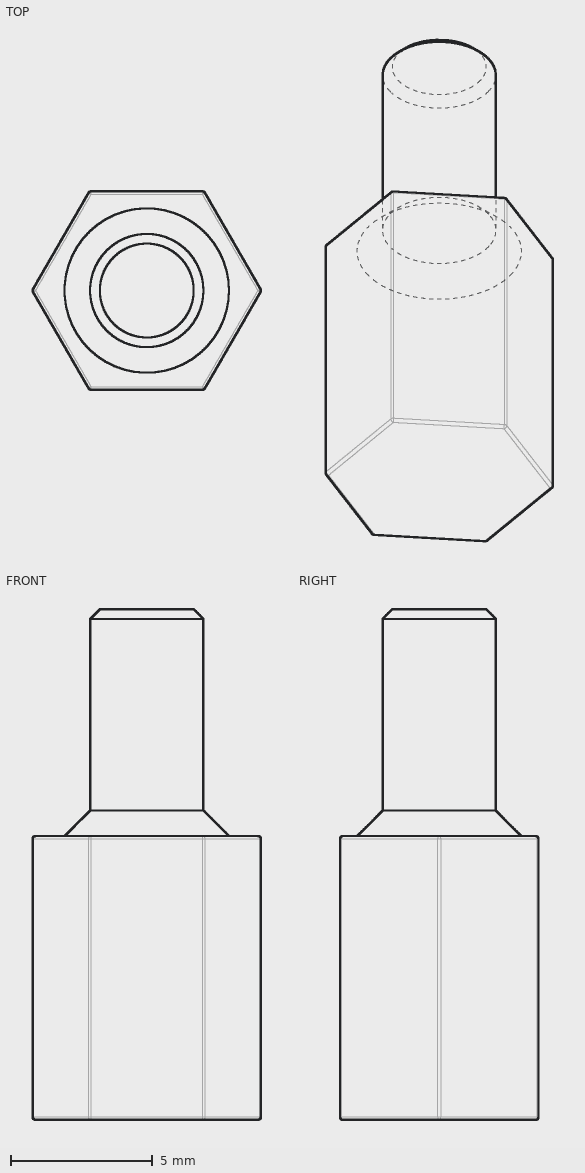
import cadquery as cq
import math

total_height = 18
hex_height = 10.0
across_flats = 7.0
edge_radius = 0.1

stud_diameter = 4.0
stud_tip_chamfer = 0.35
collar_diameter = 5.8


def hex_body():
    across_corners = across_flats / math.cos(math.radians(30))
    body = cq.Workplane("XY").polygon(6, across_corners).extrude(hex_height)
    return body.edges().fillet(edge_radius)


def stud():
    """Stud with its root cone and tip chamfer, revolved from a half profile."""
    stud_radius = stud_diameter / 2
    collar_radius = collar_diameter / 2
    collar_height = collar_radius - stud_radius
    root_z = hex_height / 2
    profile = (
        cq.Workplane("XZ")
        .moveTo(0, root_z)
        .lineTo(collar_radius, root_z)
        .lineTo(collar_radius, hex_height)
        .lineTo(stud_radius, hex_height + collar_height)
        .lineTo(stud_radius, total_height - stud_tip_chamfer)
        .lineTo(stud_radius - stud_tip_chamfer, total_height)
        .lineTo(0, total_height)
        .close()
    )
    return profile.revolve(360, (0, 0, 0), (0, 1, 0))


result = hex_body().union(stud())